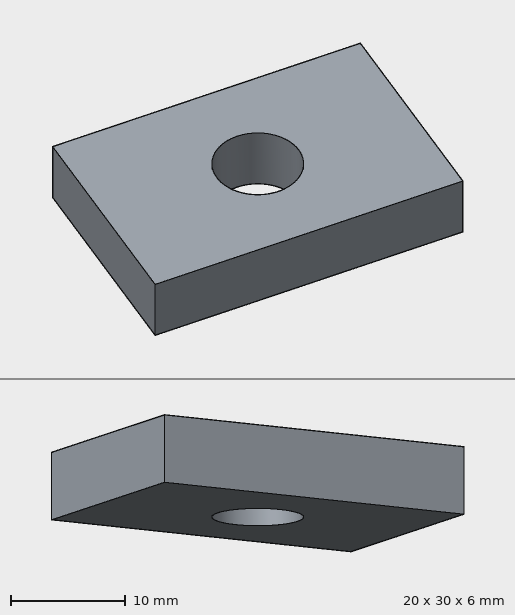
import cadquery as cq

length = 30.0
width = length * 2 / 3
thickness = length / 5

hole_diameter = width * 2 / 5

result = (
    cq.Workplane("XY")
    .box(width, length, thickness)
    .faces(">Z")
    .workplane()
    .hole(hole_diameter)
)